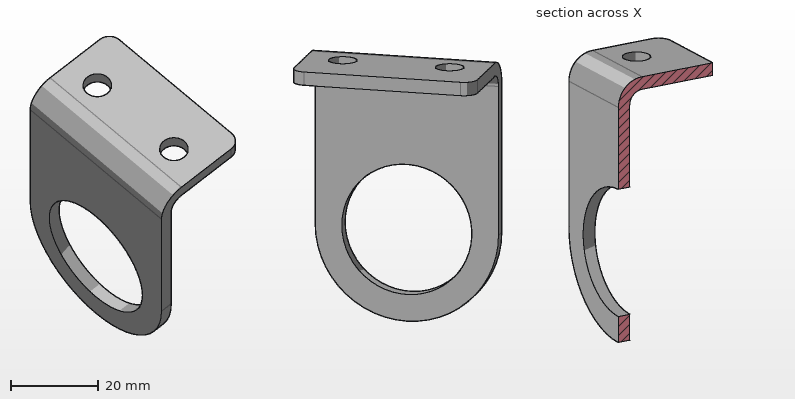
import cadquery as cq

width = 43.56
depth = 25.4
height = 63.5
thickness = 3.175
bend_inner_radius = thickness
bend_outer_radius = bend_inner_radius + thickness
corner_radius = 3.175

end_radius = width / 2
rim_width = 6.35
large_hole_diameter = width - 2 * rim_width

small_hole_diameter = 6.53
small_hole_spacing = 25.4
small_hole_y = depth / 2

bottom_z = -end_radius
top_z = bottom_z + height


def bent_strip():
    """L-shaped strip with a rounded bend, extruded across the full width."""
    profile = (
        cq.Workplane("YZ")
        .moveTo(0, bottom_z)
        .lineTo(0, top_z - bend_outer_radius)
        .radiusArc((bend_outer_radius, top_z), bend_outer_radius)
        .lineTo(depth, top_z)
        .lineTo(depth, top_z - thickness)
        .lineTo(bend_outer_radius, top_z - thickness)
        .radiusArc((thickness, top_z - bend_outer_radius), -bend_inner_radius)
        .lineTo(thickness, bottom_z)
        .close()
    )
    return profile.extrude(width / 2, both=True)


def front_outline():
    """Block whose lower end is a half circle, used to trim the vertical leg."""
    return (
        cq.Workplane("XZ")
        .moveTo(-end_radius, top_z)
        .lineTo(-end_radius, 0)
        .threePointArc((0, bottom_z), (end_radius, 0))
        .lineTo(end_radius, top_z)
        .close()
        .extrude(-depth)
    )


def large_hole():
    """Cutter for the hole concentric with the rounded end."""
    return cq.Workplane("XZ").circle(large_hole_diameter / 2).extrude(-thickness)


def small_holes():
    """Cutters for the two mounting holes through the top flange."""
    return (
        cq.Workplane("XY", origin=(0, small_hole_y, top_z))
        .rarray(small_hole_spacing, 1, 2, 1)
        .circle(small_hole_diameter / 2)
        .extrude(-thickness)
    )


bracket = bent_strip().intersect(front_outline())
bracket = bracket.edges("|Z and >Y").fillet(corner_radius)
result = bracket.cut(large_hole()).cut(small_holes())